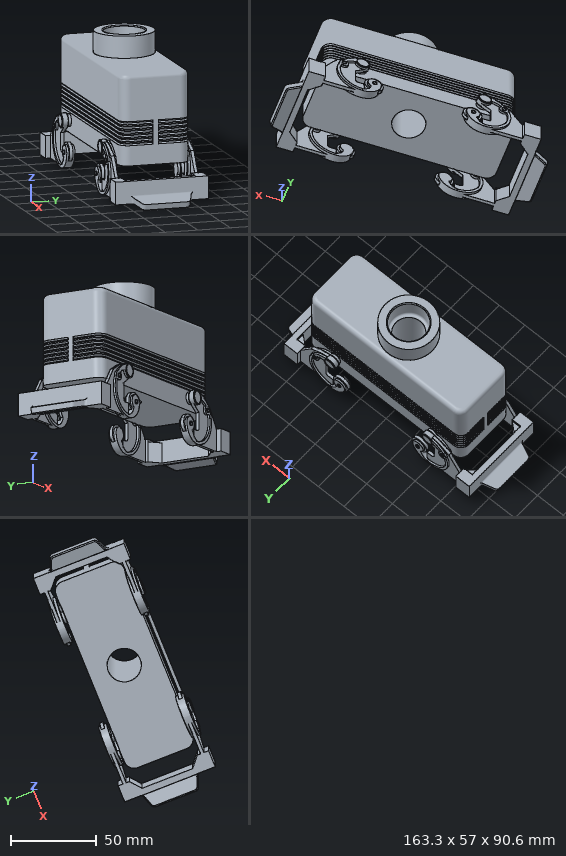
import cadquery as cq
import math


OVERALL_LENGTH = 163.3

HOOD_LENGTH = 119.9
HOOD_WIDTH = 42.8
HOOD_HEIGHT = 54.9
HOOD_CORNER_RADIUS = 6.0
HOOD_TOP_RADIUS = 3.1

ENTRY_RADIUS = 18.1
ENTRY_HEIGHT = 13.2
ENTRY_BORE_RADIUS = 12.4
ENTRY_BORE_DEPTH = 12.5
ENTRY_BORE_FLOOR_FILLET = 1.6
ENTRY_RIM_CHAMFER = 0.7
CABLE_HOLE_RADIUS = 10.0

GROOVE_COUNT = 6
GROOVE_BAND_HEIGHT = 14.4
GROOVE_HEIGHT = 1.8
GROOVE_DEPTH = 0.8
FIRST_GROOVE_Z = 12.2
GROOVE_GAP = 3.6
GROOVE_PITCH = (GROOVE_BAND_HEIGHT - GROOVE_HEIGHT) / (GROOVE_COUNT - 1)

YOKE_OUTER_X = -72.0
YOKE_INNER_X = -61.5
YOKE_BOTTOM_Z = -20.0
YOKE_TOP_Z = -6.2
YOKE_WIDTH = 57.0
YOKE_OPENING = HOOD_WIDTH
YOKE_WALL = 4.0
GUSSET_WIDTH = 5.5
GUSSET_DROP = 1.6

TAB_TILT = 15
TAB_THICKNESS = 4.2
TAB_ROOT_Z = -16.0
TAB_LENGTH = (OVERALL_LENGTH / 2 + YOKE_OUTER_X) / math.cos(math.radians(TAB_TILT))
TAB_ROOT_HALF_WIDTH = 18.0
TAB_TIP_HALF_WIDTH = 14.2
TAB_CORNER_RADIUS = 2.5
TAB_EDGE_CHAMFER = 0.7
TAB_ROOT_FILLET = 1.3
TAB_EMBED = 1.6
SELECT_MARGIN = 0.2

ARM_INNER_Y = 21.7
ARM_OUTER_Y = 26.8
PLATE_INNER_Y = 23.4
PLATE_OUTER_Y = 25.5
CAP_OUTER_Y = 27.3

PIVOT = (-37.9, 7.7)
PIVOT_RADIUS = 4.4
PIVOT_CAP_RADIUS = 3.8
PIVOT_NECK_RADIUS = 3.8

RIB_CENTER = (-37.9, -4.7)
RIB_OUTER_RADIUS = 15.8
RIB_INNER_RADIUS = 14.0
RIB_UPPER_POINT = (-46.4, 5.5)
RIB_UPPER_END = (-42.1, 7.0)
THROAT_POINT = (-34.0, -16.0)
THROAT_ANGLE = 238

EYE = (-30.5, -9.6)
EYE_RADIUS = 4.2
EYE_PLATE_RADIUS = 5.7
EYE_PIN_RADIUS = 1.3

STUD = (-49.5, 2.3)
STUD_RADIUS = 1.3
STUD_PAD_RADIUS = 2.8

PLATE_KNEE = (-53.5, 5.4)
PLATE_SHOULDER = (-49.8, 7.5)
PLATE_CREST = (-44.9, 10.1)
PLATE_CREST_END = (-39.4, 11.3)
PLATE_TANGENT_POINT = (-35.3, 4.2)
NOTCH_LEFT_X = -42.0
NOTCH_TOP_Z = -0.5
NOTCH_FLOOR_Z = -11.6
NOTCH_RIGHT_X = -36.6
NOTCH_FILLET = 1.8


def at_y(y):
    """Plane facing -Y at distance y in front of the middle plane: local x is X, local y is Z."""
    return cq.Workplane("XZ", origin=(0, -y, 0))


def disc(center, radius, y_inner, y_outer):
    """Round disc with its axis along Y, between two distances from the middle plane."""
    return at_y(y_inner).center(*center).circle(radius).extrude(y_outer - y_inner)


def on_circle(center, radius, degrees):
    """Point on a circle, with the angle counted from the first axis towards the second."""
    angle = math.radians(degrees)
    return (center[0] + radius * math.cos(angle), center[1] + radius * math.sin(angle))


def hood_block():
    """Plain hood with rounded corners and a rounded roof edge."""
    return (
        cq.Workplane("XY")
        .box(HOOD_LENGTH, HOOD_WIDTH, HOOD_HEIGHT, centered=(True, True, False))
        .edges("|Z").fillet(HOOD_CORNER_RADIUS)
        .faces(">Z").edges().fillet(HOOD_TOP_RADIUS)
    )


def groove(bottom_z):
    """V-shaped ring cut into the hood wall, interrupted in the middle of both ends."""
    half_height = GROOVE_HEIGHT / 2
    taper = math.degrees(math.atan(GROOVE_DEPTH / half_height))
    outline = cq.Sketch().rect(HOOD_LENGTH, HOOD_WIDTH).vertices().fillet(HOOD_CORNER_RADIUS)
    base = cq.Workplane("XY", origin=(0, 0, bottom_z)).placeSketch(outline)
    band = base.extrude(GROOVE_HEIGHT)
    lower = base.extrude(half_height, taper=taper)
    upper = lower.mirror("XY", (0, 0, bottom_z + half_height))
    gap = cq.Workplane("XY", origin=(0, 0, bottom_z)).box(
        HOOD_LENGTH, GROOVE_GAP, GROOVE_HEIGHT, centered=(True, True, False)
    )
    return band.cut(lower).cut(upper).cut(gap)


def hood():
    """Grooved hood with the cable entry and a hole straight down through it."""
    body = hood_block()
    for i in range(GROOVE_COUNT):
        body = body.cut(groove(FIRST_GROOVE_Z + i * GROOVE_PITCH))
    entry = cq.Workplane("XY", origin=(0, 0, HOOD_HEIGHT)).circle(ENTRY_RADIUS).extrude(ENTRY_HEIGHT)
    top_z = HOOD_HEIGHT + ENTRY_HEIGHT
    bore = (
        cq.Workplane("XY", origin=(0, 0, top_z))
        .circle(ENTRY_BORE_RADIUS).extrude(-ENTRY_BORE_DEPTH)
        .faces("<Z").edges().fillet(ENTRY_BORE_FLOOR_FILLET)
    )
    rim = (
        cq.Workplane("XY", origin=(0, 0, top_z))
        .circle(ENTRY_BORE_RADIUS + ENTRY_RIM_CHAMFER)
        .extrude(-ENTRY_RIM_CHAMFER, taper=45)
    )
    hole = cq.Workplane("XY").circle(CABLE_HOLE_RADIUS).extrude(top_z)
    return body.union(entry).cut(bore).cut(rim).cut(hole)


def tilted(flat_shape):
    """Tip a shape built flat at the origin down and move it to the root of the tab."""
    return flat_shape.rotate((0, 0, 0), (0, 1, 0), -TAB_TILT).translate((YOKE_OUTER_X, 0, TAB_ROOT_Z))


def thumb_tab():
    """Tapered tab tilted downwards, with a concave fillet along the top and sides of its root."""
    slope = (TAB_ROOT_HALF_WIDTH - TAB_TIP_HALF_WIDTH) / TAB_LENGTH
    embedded_half_width = TAB_ROOT_HALF_WIDTH + slope * TAB_EMBED
    blade = (
        cq.Workplane("XY")
        .polyline([
            (TAB_EMBED, -embedded_half_width),
            (TAB_EMBED, embedded_half_width),
            (-TAB_LENGTH, TAB_TIP_HALF_WIDTH),
            (-TAB_LENGTH, -TAB_TIP_HALF_WIDTH),
        ])
        .close()
        .extrude(-TAB_THICKNESS)
        .edges("|Z and <X").fillet(TAB_CORNER_RADIUS)
        .faces("<Z").edges("not >X").chamfer(TAB_EDGE_CHAMFER)
    )
    wall_height = 2 * (YOKE_TOP_Z - YOKE_BOTTOM_Z)
    wall = cq.Workplane("XY", origin=(YOKE_OUTER_X, 0, YOKE_TOP_Z - wall_height)).box(
        YOKE_WALL, YOKE_WIDTH, wall_height, centered=(False, True, False)
    )
    root_area = cq.selectors.BoxSelector(
        (YOKE_OUTER_X - SELECT_MARGIN, -YOKE_OPENING / 2, YOKE_BOTTOM_Z - TAB_THICKNESS),
        (YOKE_OUTER_X + SELECT_MARGIN, YOKE_OPENING / 2, YOKE_TOP_Z - TAB_THICKNESS),
    )
    filleted = wall.union(tilted(blade)).edges(root_area).fillet(TAB_ROOT_FILLET)
    under_yoke = (
        cq.Workplane("XY", origin=(YOKE_OUTER_X + YOKE_WALL / 2, 0, YOKE_BOTTOM_Z))
        .rect(YOKE_WALL, YOKE_WIDTH).extrude(-wall_height)
    )
    trim_length = 2 * (TAB_LENGTH + YOKE_WALL)
    under_tab = (
        cq.Workplane("XY", origin=(0, 0, -TAB_THICKNESS))
        .rect(trim_length, YOKE_WIDTH).extrude(-wall_height)
    )
    return filleted.cut(under_yoke).cut(tilted(under_tab))


def yoke():
    """Cross bar with two short legs, corner gussets and the thumb tab."""
    depth = YOKE_INNER_X - YOKE_OUTER_X
    height = YOKE_TOP_Z - YOKE_BOTTOM_Z
    base = cq.Workplane("XY", origin=(YOKE_OUTER_X, 0, YOKE_BOTTOM_Z))
    body = base.box(depth, YOKE_WIDTH, height, centered=(False, True, False))
    opening = base.center(YOKE_WALL, 0).box(depth, YOKE_OPENING, height, centered=(False, True, False))
    body = body.cut(opening).union(thumb_tab())

    wall_x = YOKE_OUTER_X + YOKE_WALL
    leg_y = YOKE_OPENING / 2
    for side in (-1, 1):
        gusset = (
            cq.Workplane("XY", origin=(0, 0, YOKE_BOTTOM_Z))
            .polyline([
                (wall_x, side * leg_y),
                (YOKE_INNER_X, side * leg_y),
                (wall_x, side * (leg_y - GUSSET_WIDTH)),
            ])
            .close()
            .extrude(height - GUSSET_DROP)
        )
        body = body.union(gusset)
    return body


def rib():
    """Crescent from the pivot down round to the hook, which curls up into the eye."""
    top = on_circle(RIB_CENTER, RIB_OUTER_RADIUS, 90)
    bottom = on_circle(RIB_CENTER, RIB_OUTER_RADIUS, 270)

    eye_dx = EYE[0] - bottom[0]
    eye_dz = EYE[1] - bottom[1]
    hook_radius = (eye_dx**2 + eye_dz**2 - EYE_RADIUS**2) / (2 * (eye_dz - EYE_RADIUS))
    hook_center = (bottom[0], bottom[1] + hook_radius)
    touch_angle = math.degrees(math.atan2(EYE[1] - hook_center[1], eye_dx))

    return (
        at_y(ARM_INNER_Y)
        .moveTo(*top)
        .threePointArc(on_circle(RIB_CENTER, RIB_OUTER_RADIUS, 180), bottom)
        .threePointArc(
            on_circle(hook_center, hook_radius, (touch_angle - 90) / 2),
            on_circle(hook_center, hook_radius, touch_angle),
        )
        .threePointArc(
            on_circle(EYE, EYE_RADIUS, (touch_angle + THROAT_ANGLE) / 2),
            on_circle(EYE, EYE_RADIUS, THROAT_ANGLE),
        )
        .threePointArc(THROAT_POINT, on_circle(RIB_CENTER, RIB_INNER_RADIUS, 270))
        .threePointArc(
            on_circle(RIB_CENTER, RIB_INNER_RADIUS, 225),
            on_circle(RIB_CENTER, RIB_INNER_RADIUS, 180),
        )
        .threePointArc(RIB_UPPER_POINT, RIB_UPPER_END)
        .lineTo(*PIVOT)
        .close()
        .extrude(ARM_OUTER_Y - ARM_INNER_Y)
    )


def plate():
    """Thin web joining the yoke leg, the rib and the pivot."""
    web = (
        at_y(PLATE_INNER_Y)
        .moveTo(YOKE_INNER_X, YOKE_BOTTOM_Z)
        .lineTo(YOKE_INNER_X, YOKE_TOP_Z)
        .lineTo(*PLATE_KNEE)
        .lineTo(*PLATE_SHOULDER)
        .threePointArc(PLATE_CREST, PLATE_CREST_END)
        .lineTo(*PIVOT)
        .lineTo(*PLATE_TANGENT_POINT)
        .lineTo(NOTCH_LEFT_X, NOTCH_TOP_Z)
        .lineTo(NOTCH_LEFT_X, NOTCH_FLOOR_Z + NOTCH_FILLET)
        .radiusArc((NOTCH_LEFT_X + NOTCH_FILLET, NOTCH_FLOOR_Z), -NOTCH_FILLET)
        .lineTo(NOTCH_RIGHT_X, NOTCH_FLOOR_Z)
        .lineTo(NOTCH_RIGHT_X, YOKE_BOTTOM_Z)
        .close()
        .extrude(PLATE_OUTER_Y - PLATE_INNER_Y)
    )
    return web.union(disc(EYE, EYE_PLATE_RADIUS, PLATE_INNER_Y, PLATE_OUTER_Y))


def arm():
    """Front arm of the left latch: plate, rib, pivot reaching to the hood, stud and eye pin."""
    hood_side = HOOD_WIDTH / 2
    return (
        rib()
        .union(plate())
        .union(disc(STUD, STUD_PAD_RADIUS, ARM_INNER_Y, ARM_OUTER_Y))
        .union(disc(PIVOT, PIVOT_NECK_RADIUS, hood_side, PLATE_INNER_Y))
        .union(disc(PIVOT, PIVOT_RADIUS, PLATE_INNER_Y, ARM_OUTER_Y))
        .union(disc(PIVOT, PIVOT_CAP_RADIUS, ARM_OUTER_Y, CAP_OUTER_Y))
        .union(disc(STUD, STUD_RADIUS, ARM_OUTER_Y, CAP_OUTER_Y))
        .union(disc(EYE, EYE_PIN_RADIUS, ARM_OUTER_Y, CAP_OUTER_Y))
    )


def latch():
    """Left latch: the yoke with an arm on each long side of the hood."""
    front_arm = arm()
    return yoke().union(front_arm).union(front_arm.mirror("XZ"))


left_latch = latch()
result = hood().union(left_latch).union(left_latch.mirror("YZ"))